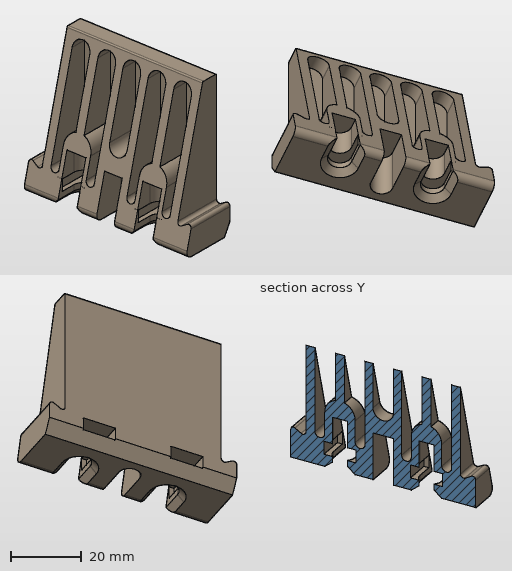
import cadquery as cq
import math

overall_width = 60.0
body_width = 50.0
height = 50.0
top_thickness = 6.1
front_slope = 15.0
bottom_thickness = top_thickness + height * math.tan(math.radians(front_slope))
top_edge_radius = 0.5
front_toe_radius = 2.0
back_bevel_depth = 2.5
back_bevel_angle = 30.0
back_bevel_height = back_bevel_depth / math.tan(math.radians(back_bevel_angle))

ear_slope = 30.0
ear_top = 10.0
ear_radius = 1.0
ear_reach = (overall_width - body_width) / 2
ear_tip_height = ear_top - ear_radius + ear_radius / math.tan(math.radians(ear_slope))
ear_root_height = ear_tip_height - ear_reach * math.tan(math.radians(ear_slope))

web_thickness = 2.0
pocket_width = 6.5
pocket_top = 48.0
outer_pocket_bottom = 9.0
center_pocket_bottom = 20.0
rib_thickness = 3.0

bolt_x = 14.0
bolt_width = 7.0
bolt_height = 16.5
bolt_axis_depth = 12.0
bolt_flare = 2.0
bolt_flare_angle = 45.0
boss_radius = 5.0
boss_top = 22.5
nut_width = 10.2
nut_bottom = 4.0
nut_top = 8.0
nut_depth = 17.0

notch_width = pocket_width
notch_height = 15.0
notch_back = 5.0


def make_wedge():
    """Side profile across the full width, with its rounded long edges."""
    wedge = (
        cq.Workplane("YZ")
        .moveTo(0, height)
        .lineTo(-top_thickness, height)
        .lineTo(-bottom_thickness, 0)
        .lineTo(-back_bevel_depth, 0)
        .lineTo(0, back_bevel_height)
        .close()
        .extrude(overall_width / 2, both=True)
    )
    wedge = wedge.edges("|X and >Z").fillet(top_edge_radius)
    return wedge.edges("|X and <Y").fillet(front_toe_radius)


def make_front_outline():
    """Front outline with the hooked ears, as a prism through the full depth."""
    half_body = body_width / 2
    half_overall = overall_width / 2
    right_half = [
        (half_body, height),
        (half_body, ear_root_height),
        (half_overall, ear_tip_height),
        (half_overall, 0),
    ]
    left_half = [(-x, z) for x, z in reversed(right_half)]
    prism = cq.Workplane("XZ").polyline(right_half + left_half).close().extrude(bottom_thickness)
    ear_edges = cq.selectors.BoxSelector(
        (-overall_width, -bottom_thickness, ear_root_height / 2),
        (overall_width, bottom_thickness, height / 2),
    )
    return prism.edges("|Y").edges(ear_edges).fillet(ear_radius)


def center_pocket():
    """Upright round-ended pocket on the middle plane, from the web to the front."""
    return (
        cq.Workplane("XZ", origin=(0, -web_thickness, 0))
        .center(0, (pocket_top + center_pocket_bottom) / 2)
        .slot2D(pocket_top - center_pocket_bottom, pocket_width, 90)
        .extrude(bottom_thickness)
    )


def outer_pocket(boss_x, side):
    """Pocket beside a bolt boss: wide above the boss, with a narrow leg running down past it.

    side is -1 when the pocket lies left of the boss and 1 when it lies right.
    """
    inner = boss_x + side * rib_thickness / 2
    outer = inner + side * pocket_width
    boss_wall = boss_x + side * boss_radius
    shoulder_height = pocket_top - pocket_width / 2
    leg_axis_height = outer_pocket_bottom + abs(outer - boss_wall) / 2

    boss_axis_height = boss_top - boss_radius
    rib_angle = math.acos(rib_thickness / 2 / boss_radius)
    rib_foot_height = boss_axis_height + boss_radius * math.sin(rib_angle)
    boss_arc_middle = (
        boss_x + side * boss_radius * math.cos(rib_angle / 2),
        boss_axis_height + boss_radius * math.sin(rib_angle / 2),
    )
    return (
        cq.Workplane("XZ", origin=(0, -web_thickness, 0))
        .moveTo(inner, rib_foot_height)
        .lineTo(inner, shoulder_height)
        .threePointArc(((inner + outer) / 2, pocket_top), (outer, shoulder_height))
        .lineTo(outer, leg_axis_height)
        .threePointArc(((outer + boss_wall) / 2, outer_pocket_bottom), (boss_wall, leg_axis_height))
        .lineTo(boss_wall, boss_axis_height)
        .threePointArc(boss_arc_middle, (inner, rib_foot_height))
        .close()
        .extrude(bottom_thickness)
    )


def round_backed_slot(x, width, axis_depth, slot_height, taper=0):
    """Slot rising from the bottom, open to the front, with a half-round back."""
    radius = width / 2
    open_end = -2 * bottom_thickness
    return (
        cq.Workplane("XY")
        .moveTo(x - radius, open_end)
        .lineTo(x - radius, -axis_depth)
        .threePointArc((x, radius - axis_depth), (x + radius, -axis_depth))
        .lineTo(x + radius, open_end)
        .close()
        .extrude(slot_height, taper=taper)
    )


def bolt_slot(x):
    """Bolt slot flared at the bottom, crossed by a wider nut slot open at the back."""
    shank = round_backed_slot(x, bolt_width, bolt_axis_depth, bolt_height)
    flare_width = bolt_width + 2 * bolt_flare
    flare = round_backed_slot(x, flare_width, bolt_axis_depth, bolt_flare, bolt_flare_angle)
    nut_height = nut_top - nut_bottom
    nut = cq.Workplane("XY").box(nut_width, nut_depth, nut_height)
    nut = nut.translate((x, -nut_depth / 2, nut_bottom + nut_height / 2))
    return shank.union(flare).union(nut)


def notch():
    """Round-backed notch in the middle of the foot."""
    return round_backed_slot(0, notch_width, notch_back + notch_width / 2, notch_height)


result = make_wedge().intersect(make_front_outline())
result = result.cut(center_pocket())
for boss_x in (-bolt_x, bolt_x):
    result = result.cut(bolt_slot(boss_x))
    for side in (-1, 1):
        result = result.cut(outer_pocket(boss_x, side))
result = result.cut(notch())